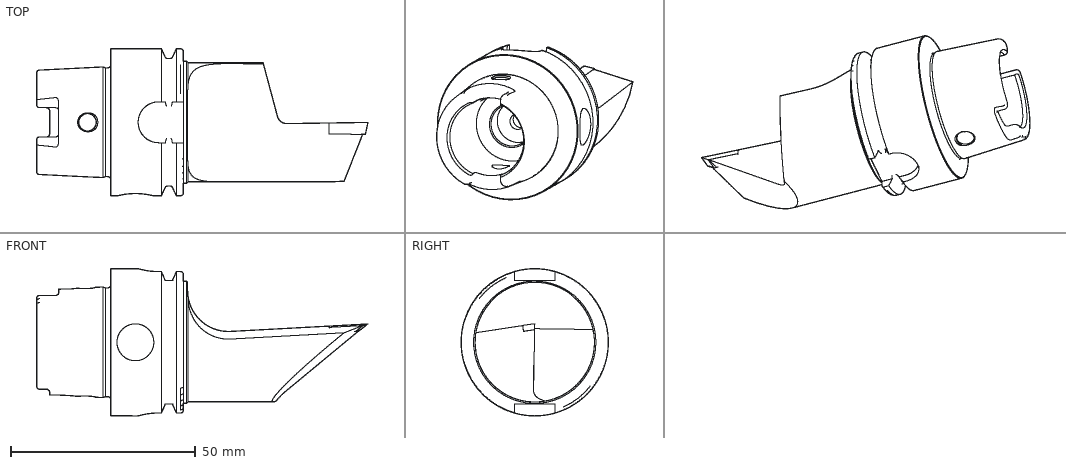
import cadquery as cq
import math


NOSE_X = -20.0
TAPER_END_X = -2.05
TAPER_R = 15.05
TAPER_SLOPE = 0.05
NOSE_ROUND = 0.8
NECK_R = 14.8
NECK_START_X = -1.3
NECK_ROUND = 0.85
RELIEF_R = 16.2
RELIEF_DEPTH = 0.1

FLANGE_R = 20.0
FLANGE_CHAMFER = 0.2
FLANGE_END_X = 19.85
FLANGE_END_ROUND = 0.8
GROOVE_LEFT_X = 13.85
GROOVE_RIGHT_X = 17.9
GROOVE_BOTTOM_R = 17.35
GROOVE_ROUND = 0.5
GROOVE_FLANK = 25.0
COLLAR_R = 16.6
COLLAR_END_X = 20.7
STEM_R = 16.2

MOUTH_R = 11.0
MOUTH_DEPTH = 1.0
BORE_R = 10.5
BORE_TAPER_START_X = -12.3
BORE_TAPER_END_X = -7.0
BORE_END_R = 9.8
BORE_FLOOR_X = 3.0
THREAD_R = 5.7
THREAD_CHAMFER = 0.35
THREAD_FLOOR_X = 9.0
PILOT_R = 2.1
PILOT_END_X = 12.0
DRILL_POINT_HALF_ANGLE = 59.0

SLOT_HALF_WIDTH = 3.95
SLOT_SHELF_Z = 12.75
SLOT_CORNER_R = 1.8
SLOT_FLOOR_ROUND = 0.85
UPPER_SLOT_DEPTH = 6.0
LOWER_SLOT_DEPTH = 3.5
SLOT_INNER_Z = 8.0

CROSS_HOLE_X = -6.2
CROSS_HOLE_R = 2.35
CROSS_HOLE_SINK_R = 2.8
POCKET_X = 6.8
POCKET_R = 5.0
POCKET_DEPTH = 5.4
POCKET_FLOOR_ROUND = 0.3
KEYWAY_WIDTH = 11.1
KEYWAY_FLOOR_Z = 16.8
KEYWAY_ROUND_X = 13.1

TIP_X = NOSE_X + 89.88
TIP_Z = 5.0
RAKE_SLOPE = 3.1
RAKE_TILT = 7.5
RIDGE_Y = -0.35
ROOT_X = 21.0
ROOT_R = 11.0
SIDE_CORNER_X = 45.9
SIDE_ANGLE = 15.0
SIDE_ROUND = 2.5
END_SLOPE = 1.205
HOLDER_END_SWEEP = 0.21
HOLDER_END_X = 69.65
INSERT_END_SWEEP = 0.04

INSERT_LENGTH = 10.4
INSERT_WIDTH = 3.3
INSERT_THICKNESS = 1.5

REACH = 30.0
OVERRUN = 1.0
RADIUS_TOLERANCE = 0.1


def revolve_about_x(outline):
    return outline.close().revolve(360, (0, 0, 0), (1, 0, 0))


def turned_body():
    nose_r = TAPER_R - TAPER_SLOPE * (TAPER_END_X - NOSE_X)
    groove_run = (FLANGE_R - GROOVE_BOTTOM_R) * math.tan(math.radians(GROOVE_FLANK))
    diagonal = math.sqrt(0.5)
    neck_end_x = RELIEF_DEPTH - NECK_ROUND
    neck_mid = (neck_end_x + NECK_ROUND * diagonal, NECK_R + NECK_ROUND * (1 - diagonal))
    round_x = FLANGE_END_X - FLANGE_END_ROUND
    round_r = FLANGE_R - FLANGE_END_ROUND
    round_mid = (round_x + FLANGE_END_ROUND * diagonal, round_r + FLANGE_END_ROUND * diagonal)
    outline = (
        cq.Workplane("XY")
        .moveTo(NOSE_X, 0)
        .lineTo(NOSE_X, nose_r)
        .lineTo(TAPER_END_X, TAPER_R)
        .lineTo(NECK_START_X, NECK_R)
        .lineTo(neck_end_x, NECK_R)
        .threePointArc(neck_mid, (RELIEF_DEPTH, NECK_R + NECK_ROUND))
        .lineTo(0, RELIEF_R)
        .lineTo(0, FLANGE_R - FLANGE_CHAMFER)
        .lineTo(FLANGE_CHAMFER, FLANGE_R)
        .lineTo(GROOVE_LEFT_X, FLANGE_R)
        .lineTo(GROOVE_LEFT_X + groove_run, GROOVE_BOTTOM_R)
        .lineTo(GROOVE_RIGHT_X - groove_run, GROOVE_BOTTOM_R)
        .lineTo(GROOVE_RIGHT_X, FLANGE_R)
        .lineTo(round_x, FLANGE_R)
        .threePointArc(round_mid, (FLANGE_END_X, round_r))
        .lineTo(FLANGE_END_X, COLLAR_R)
        .lineTo(COLLAR_END_X, COLLAR_R)
        .lineTo(COLLAR_END_X + COLLAR_R - STEM_R, STEM_R)
        .lineTo(TIP_X + OVERRUN, STEM_R)
        .lineTo(TIP_X + OVERRUN, 0)
    )
    groove_box = cq.selectors.BoxSelector(
        (GROOVE_LEFT_X, -FLANGE_R, -FLANGE_R), (GROOVE_RIGHT_X, FLANGE_R, FLANGE_R), boundingbox=True
    )
    bottom_corners = revolve_about_x(outline).edges(groove_box).filter(
        lambda edge: edge.geomType() == "CIRCLE" and edge.radius() < GROOVE_BOTTOM_R + RADIUS_TOLERANCE
    )
    return bottom_corners.fillet(GROOVE_ROUND)


def bore():
    point_length = PILOT_R / math.tan(math.radians(DRILL_POINT_HALF_ANGLE))
    outline = (
        cq.Workplane("XY")
        .moveTo(NOSE_X, 0)
        .lineTo(NOSE_X, MOUTH_R)
        .lineTo(NOSE_X + MOUTH_DEPTH, BORE_R)
        .lineTo(BORE_TAPER_START_X, BORE_R)
        .lineTo(BORE_TAPER_END_X, BORE_END_R)
        .lineTo(BORE_FLOOR_X, BORE_END_R)
        .lineTo(BORE_FLOOR_X, THREAD_R + THREAD_CHAMFER)
        .lineTo(BORE_FLOOR_X + THREAD_CHAMFER, THREAD_R)
        .lineTo(THREAD_FLOOR_X, THREAD_R)
        .lineTo(THREAD_FLOOR_X, PILOT_R)
        .lineTo(PILOT_END_X, PILOT_R)
        .lineTo(PILOT_END_X + point_length, 0)
    )
    return revolve_about_x(outline)


def drive_slot(depth):
    """Slot at the +Z side: narrow at the bore, rounded out to a wide shelf at the outside."""
    corner_y = SLOT_HALF_WIDTH + SLOT_CORNER_R
    corner_z = SLOT_SHELF_Z - SLOT_CORNER_R
    diagonal = SLOT_CORNER_R * math.sqrt(0.5)
    wide_y = 2 * corner_y
    return (
        cq.Workplane("YZ", origin=(NOSE_X, 0, 0))
        .moveTo(-SLOT_HALF_WIDTH, SLOT_INNER_Z)
        .lineTo(SLOT_HALF_WIDTH, SLOT_INNER_Z)
        .lineTo(SLOT_HALF_WIDTH, corner_z)
        .threePointArc((corner_y - diagonal, corner_z + diagonal), (corner_y, SLOT_SHELF_Z))
        .lineTo(wide_y, SLOT_SHELF_Z)
        .lineTo(wide_y, REACH)
        .lineTo(-wide_y, REACH)
        .lineTo(-wide_y, SLOT_SHELF_Z)
        .lineTo(-corner_y, SLOT_SHELF_Z)
        .threePointArc((diagonal - corner_y, corner_z + diagonal), (-SLOT_HALF_WIDTH, corner_z))
        .close()
        .extrude(depth)
        .faces(">X").edges().fillet(SLOT_FLOOR_ROUND)
    )


def cross_hole():
    hole = cq.Workplane("XY").center(CROSS_HOLE_X, 0).circle(CROSS_HOLE_R).extrude(REACH, both=True)
    local_r = TAPER_R - TAPER_SLOPE * (TAPER_END_X - CROSS_HOLE_X)
    sink_depth = CROSS_HOLE_SINK_R - CROSS_HOLE_R
    for side in (1, -1):
        sink = (
            cq.Workplane("XY", origin=(CROSS_HOLE_X, 0, side * local_r))
            .circle(CROSS_HOLE_SINK_R)
            .workplane(offset=-side * sink_depth)
            .circle(CROSS_HOLE_R)
            .loft()
        )
        hole = hole.union(sink)
    return hole


def round_pocket():
    return (
        cq.Workplane("XZ", origin=(POCKET_X, POCKET_DEPTH - FLANGE_R, 0))
        .circle(POCKET_R)
        .extrude(REACH)
        .faces(">Y").edges().fillet(POCKET_FLOOR_ROUND)
    )


def keyway():
    length = FLANGE_END_X - KEYWAY_ROUND_X
    plane = cq.Workplane("XY", origin=(KEYWAY_ROUND_X, 0, KEYWAY_FLOOR_Z))
    height = REACH - KEYWAY_FLOOR_Z
    straight = plane.center(length / 2, 0).rect(length, KEYWAY_WIDTH).extrude(height)
    return plane.circle(KEYWAY_WIDTH / 2).extrude(height).union(straight)


def tilt(shape):
    """Turn the cutting half's faces about the line through the ridge at tip height."""
    return shape.rotate((0, RIDGE_Y, TIP_Z), (1, RIDGE_Y, TIP_Z), RAKE_TILT)


def rake_height(x):
    return TIP_Z - (TIP_X - x) * math.tan(math.radians(RAKE_SLOPE))


def rake_cut():
    """Space above a blade top: upright root wall, concave arc and a rising straight top."""
    slope = math.radians(RAKE_SLOPE)
    centre_x = ROOT_X + ROOT_R
    tangent_x = centre_x + ROOT_R * math.sin(slope)
    centre_z = rake_height(tangent_x) + ROOT_R * math.cos(slope)
    middle = math.pi / 4 + slope / 2
    arc_mid = (centre_x - ROOT_R * math.cos(middle), centre_z - ROOT_R * math.sin(middle))
    far_x = TIP_X + REACH
    return (
        cq.Workplane("XZ")
        .moveTo(ROOT_X, REACH)
        .lineTo(ROOT_X, centre_z)
        .threePointArc(arc_mid, (tangent_x, rake_height(tangent_x)))
        .lineTo(far_x, rake_height(far_x))
        .lineTo(far_x, REACH)
        .close()
        .extrude(REACH, both=True)
    )


def side_cut():
    """Space beside the blade on +Y, up to the side wall that runs out to the tip."""
    run = REACH * math.tan(math.radians(SIDE_ANGLE))
    return (
        cq.Workplane("XY", origin=(0, 0, -REACH))
        .moveTo(SIDE_CORNER_X, RIDGE_Y)
        .lineTo(TIP_X, 0)
        .lineTo(TIP_X + REACH, 0)
        .lineTo(TIP_X + REACH, RIDGE_Y + REACH)
        .lineTo(SIDE_CORNER_X - run, RIDGE_Y + REACH)
        .close()
        .extrude(2 * REACH)
        .edges(cq.selectors.NearestToPointSelector((SIDE_CORNER_X, RIDGE_Y, 0)))
        .fillet(SIDE_ROUND)
    )


def end_cut(point, sweep):
    """Space beyond the sloping end plane through the given point."""
    plane = cq.Plane(origin=point, xDir=(sweep, 1, 0), normal=(1, -sweep, -END_SLOPE))
    size = 4 * REACH
    return cq.Workplane(plane).rect(size, size).extrude(size)


def insert_block():
    """Seat of the insert in the tilted top face, running out past the tip."""
    start_x = TIP_X - INSERT_LENGTH
    length = INSERT_LENGTH + OVERRUN
    width = INSERT_WIDTH + OVERRUN
    slab = (
        cq.Workplane("XY")
        .box(length, width, INSERT_THICKNESS, centered=False)
        .rotate((0, 0, 0), (0, 1, 0), -RAKE_SLOPE)
        .translate((start_x, -INSERT_WIDTH, rake_height(start_x) - INSERT_THICKNESS))
    )
    return tilt(slab)


def rounded_nose(body):
    """Round the nose face all round, except along the bore mouth."""
    edges = body.faces("<X").edges().filter(
        lambda edge: edge.geomType() != "CIRCLE" or abs(edge.radius() - MOUTH_R) > RADIUS_TOLERANCE
    )
    return edges.fillet(NOSE_ROUND)


def build_holder():
    body = turned_body().cut(bore())
    body = body.cut(drive_slot(UPPER_SLOT_DEPTH))
    body = body.cut(drive_slot(LOWER_SLOT_DEPTH).rotate((0, 0, 0), (1, 0, 0), 180))
    body = rounded_nose(body)
    body = body.cut(cross_hole()).cut(round_pocket())
    for turn in (0, 180):
        body = body.cut(keyway().rotate((0, 0, 0), (1, 0, 0), turn))
    body = body.cut(rake_cut()).cut(tilt(rake_cut()))
    body = body.cut(side_cut())
    body = body.cut(end_cut((HOLDER_END_X, RIDGE_Y, TIP_Z), HOLDER_END_SWEEP))
    return body.cut(insert_block())


def build_insert():
    return insert_block().cut(rake_cut()).cut(side_cut()).cut(end_cut((TIP_X, 0, TIP_Z), INSERT_END_SWEEP))


holder = build_holder()
insert = build_insert()

result = cq.Compound.makeCompound([holder.val(), insert.val()])